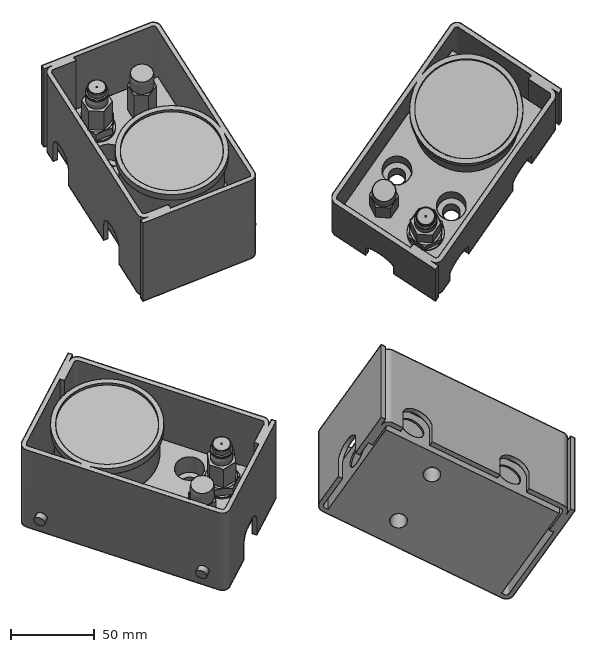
import cadquery as cq
import math

WIDTH = 134.0
DEPTH = 76.9
HEIGHT = 75.0
WALL = 3.0
BEND_RADIUS = 5.0
COVER_LEG = 20.0

BLOCK_WIDTH = 120.0
BLOCK_FRONT = 6.4
BLOCK_BACK = DEPTH - WALL
BLOCK_TOP = 30.0
BLOCK_MIDDLE = (BLOCK_FRONT + BLOCK_BACK) / 2

OPENING_WIDTH = 20.1
OPENING_Z = 15.0
KNOCKOUT_DIAMETER = 16.1
KNOCKOUT_DEPTH = 1.0

PIN_DIAMETER = 7.2
PIN_LENGTH = 4.0
PIN_X = 52.1
PIN_Z = OPENING_Z

HOLE_X = -19.7
HOLE_SPACING = 39.1
HOLE_DIAMETER = 10.5
COUNTERBORE_DIAMETER = 17.7
COUNTERBORE_DEPTH = BLOCK_TOP / 2

GAUGE_X = 25.2
GAUGE_Y = 40.3
GAUGE_BODY_RADIUS = 31.5
GAUGE_BODY_HEIGHT = 24.1
GAUGE_BODY_FILLET = 1.1
BEZEL_RADIUS = 33.8
BEZEL_BORE_RADIUS = 30.7
BEZEL_HEIGHT = 5.4
GLASS_DEPTH = 2.0
GAUGE_TOP = HEIGHT

FITTING_X = -41.8
FITTING_SPACING = 30.0
CONNECTOR_Y = 24.1

BUTTON_Y = CONNECTOR_Y + FITTING_SPACING
BUTTON_NUT_FLATS = 15.1
BUTTON_NUT_TOP = 54.1
BUTTON_RADIUS = 7.2
BUTTON_TOP_RADIUS = 6.8
BUTTON_TOP = 65.4
BUTTON_CAP_HEIGHT = 3.4

CONNECTOR_TOP = 69.3
TIP_RADIUS = 5.8
TIP_HEIGHT = 3.9
TIP_CHAMFER = 0.5
BARREL_RADIUS = 6.7
SHOULDER_DROP = 0.4
COLLAR_HEIGHT = 1.7
GROOVE_RADIUS = 6.0
GROOVE_HEIGHT = 1.1
GROOVE_FLARE_HEIGHT = 2.5
CONNECTOR_HEX_TOP = 56.3
CONNECTOR_HEX_CONE_ANGLE = 10.0
CONNECTOR_HEX_FLATS = 16.0
WASHER_RADIUS = 11.1
WASHER_HEIGHT = 1.3
BASE_NUT_FLATS = 19.3
BASE_NUT_HEIGHT = 6.7
BASE_NUT_TURN = 30.0
CONTACT_HOLE_DIAMETER = 0.8
CONTACT_HOLE_DEPTH = 2.7

NUT_CHAMFER_ANGLE = 30.0


def box(x_min, x_max, y_min, y_max, height):
    block = cq.Workplane("XY").box(x_max - x_min, y_max - y_min, height, centered=False)
    return block.translate((x_min, y_min, 0))


def channel(half_width, y_open, y_web):
    """U-shaped channel with bent corners; its web is at y_web and its legs end at y_open."""
    web_side = ">Y" if y_web > y_open else "<Y"
    inward = math.copysign(WALL, y_open - y_web)
    y_inner_web = y_web + inward
    outer = box(-half_width, half_width, min(y_open, y_web), max(y_open, y_web), HEIGHT)
    outer = outer.faces(web_side).edges("|Z").fillet(BEND_RADIUS)
    inner_half = half_width - WALL
    inner = box(-inner_half, inner_half, min(y_open, y_inner_web), max(y_open, y_inner_web), HEIGHT)
    inner = inner.faces(web_side).edges("|Z").fillet(BEND_RADIUS - WALL)
    return outer.cut(inner)


def opening(plane):
    """Arch-topped cutter, one wall thick, drawn on a vertical plane through the opening centre line."""
    half = OPENING_WIDTH / 2
    return (
        plane.moveTo(-half, 0)
        .lineTo(half, 0)
        .lineTo(half, OPENING_Z)
        .threePointArc((0, OPENING_Z + half), (-half, OPENING_Z))
        .close()
        .extrude(WALL)
    )


def knockout(plane):
    return plane.center(0, OPENING_Z).circle(KNOCKOUT_DIAMETER / 2).extrude(KNOCKOUT_DEPTH)


def facing_back(x, y):
    """Vertical plane at (x, y) whose normal points to +Y."""
    return cq.Workplane(cq.Plane(origin=(x, y, 0), xDir=(-1, 0, 0), normal=(0, 1, 0)))


def facing_right(x, y):
    """Vertical plane at (x, y) whose normal points to +X."""
    return cq.Workplane(cq.Plane(origin=(x, y, 0), xDir=(0, 1, 0), normal=(1, 0, 0)))


def disc(x, y, z, radius, height):
    return cq.Workplane("XY", origin=(x, y, z)).circle(radius).extrude(height)


def turned(x, y, profile):
    """Solid of revolution about a vertical axis from (radius, z) points."""
    points = [(0, profile[0][1])] + profile + [(0, profile[-1][1])]
    solid = cq.Workplane("XZ").polyline(points).close().revolve(360, (0, 0), (0, 1))
    return solid.translate((x, y, 0))


def hex_nut(x, y, z_bottom, z_top, flats, top_radius, turn=0, cone_angle=NUT_CHAMFER_ANGLE):
    """Hexagon whose corners are cut by a cone that is top_radius wide at the top."""
    corner_radius = flats / math.sqrt(3)
    prism = (
        cq.Workplane("XY", origin=(0, 0, z_bottom))
        .polygon(6, 2 * corner_radius)
        .extrude(z_top - z_bottom)
        .rotate((0, 0, 0), (0, 0, 1), turn)
        .translate((x, y, 0))
    )
    cone_drop = (corner_radius - top_radius) * math.tan(math.radians(cone_angle))
    envelope = turned(x, y, [
        (corner_radius, z_bottom), (corner_radius, z_top - cone_drop), (top_radius, z_top)
    ])
    return prism.intersect(envelope)


def make_housing():
    back_channel = channel(WIDTH / 2, 0, DEPTH)
    front_cover = channel(WIDTH / 2 - WALL, COVER_LEG, 0)
    housing = back_channel.union(front_cover)
    for x in (FITTING_X, GAUGE_X):
        housing = housing.cut(opening(facing_back(x, 0)))
    housing = housing.cut(opening(facing_right(-WIDTH / 2, BLOCK_MIDDLE)))
    for x in (-PIN_X, PIN_X):
        pin = facing_back(x, DEPTH).center(0, PIN_Z).circle(PIN_DIAMETER / 2).extrude(PIN_LENGTH)
        housing = housing.union(pin)
    return housing


def make_block():
    half = BLOCK_WIDTH / 2
    block = box(-half, half, BLOCK_FRONT, BLOCK_BACK, BLOCK_TOP)
    for x in (FITTING_X, GAUGE_X):
        block = block.cut(knockout(facing_back(x, BLOCK_FRONT)))
    block = block.cut(knockout(facing_right(-half, BLOCK_MIDDLE)))
    for side in (-1, 1):
        y = BLOCK_MIDDLE + side * HOLE_SPACING / 2
        block = block.cut(disc(HOLE_X, y, 0, HOLE_DIAMETER / 2, BLOCK_TOP))
        counterbore_floor = BLOCK_TOP - COUNTERBORE_DEPTH
        block = block.cut(
            disc(HOLE_X, y, counterbore_floor, COUNTERBORE_DIAMETER / 2, COUNTERBORE_DEPTH)
        )
    return block


def make_gauge():
    bezel_bottom = GAUGE_TOP - BEZEL_HEIGHT
    body_bottom = bezel_bottom - GAUGE_BODY_HEIGHT
    body = disc(GAUGE_X, GAUGE_Y, body_bottom, GAUGE_BODY_RADIUS, GAUGE_BODY_HEIGHT)
    body = body.faces("<Z").fillet(GAUGE_BODY_FILLET)
    bezel = disc(GAUGE_X, GAUGE_Y, bezel_bottom, BEZEL_RADIUS, BEZEL_HEIGHT)
    glass = disc(GAUGE_X, GAUGE_Y, GAUGE_TOP - GLASS_DEPTH, BEZEL_BORE_RADIUS, GLASS_DEPTH)
    return body.union(bezel).cut(glass)


def make_button():
    nut = hex_nut(
        FITTING_X, BUTTON_Y, BLOCK_TOP, BUTTON_NUT_TOP, BUTTON_NUT_FLATS, BUTTON_RADIUS
    )
    stem = turned(FITTING_X, BUTTON_Y, [
        (BUTTON_RADIUS, BLOCK_TOP),
        (BUTTON_RADIUS, BUTTON_TOP - BUTTON_CAP_HEIGHT),
        (BUTTON_TOP_RADIUS, BUTTON_TOP),
    ])
    return nut.union(stem)


def make_connector():
    x, y = FITTING_X, CONNECTOR_Y
    tip_bottom = CONNECTOR_TOP - TIP_HEIGHT
    collar_top = tip_bottom - SHOULDER_DROP
    collar_bottom = collar_top - COLLAR_HEIGHT
    groove_bottom = collar_bottom - GROOVE_HEIGHT
    flare_bottom = groove_bottom - GROOVE_FLARE_HEIGHT
    washer_top = BLOCK_TOP + WASHER_HEIGHT
    base_nut_top = washer_top + BASE_NUT_HEIGHT
    washer = disc(x, y, BLOCK_TOP, WASHER_RADIUS, WASHER_HEIGHT)
    base_nut = hex_nut(x, y, washer_top, base_nut_top, BASE_NUT_FLATS, BASE_NUT_FLATS / 2, BASE_NUT_TURN)
    body = hex_nut(
        x, y, base_nut_top, CONNECTOR_HEX_TOP, CONNECTOR_HEX_FLATS, BARREL_RADIUS,
        cone_angle=CONNECTOR_HEX_CONE_ANGLE,
    )
    barrel = turned(x, y, [
        (BARREL_RADIUS, CONNECTOR_HEX_TOP),
        (BARREL_RADIUS, flare_bottom),
        (GROOVE_RADIUS, groove_bottom),
        (GROOVE_RADIUS, collar_bottom),
        (BARREL_RADIUS, collar_bottom),
        (BARREL_RADIUS, collar_top),
        (TIP_RADIUS, tip_bottom),
        (TIP_RADIUS, CONNECTOR_TOP - TIP_CHAMFER),
        (TIP_RADIUS - TIP_CHAMFER, CONNECTOR_TOP),
    ])
    contact_floor = CONNECTOR_TOP - CONTACT_HOLE_DEPTH
    contact_hole = disc(x, y, contact_floor, CONTACT_HOLE_DIAMETER / 2, CONTACT_HOLE_DEPTH)
    return washer.union(base_nut).union(body).union(barrel).cut(contact_hole)


result = (
    make_housing()
    .union(make_block())
    .union(make_gauge())
    .union(make_button())
    .union(make_connector())
)